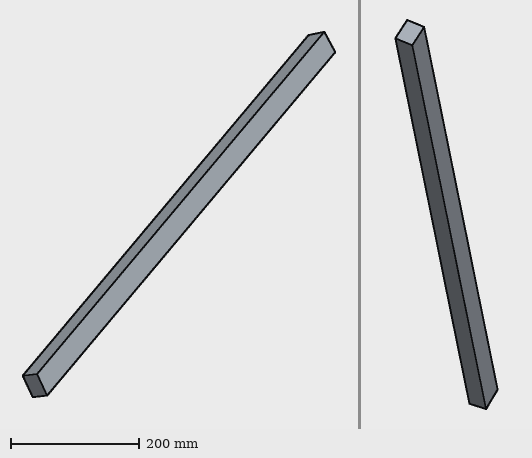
import cadquery as cq
import math

OVERALL_LENGTH = 984.73
OVERALL_HEIGHT = 48.95

SECTION_WIDTH = 30.0
SECTION_DEPTH = 39.5
SECTION_DIAGONAL = math.hypot(SECTION_WIDTH, SECTION_DEPTH)
ROLL = math.atan2(SECTION_WIDTH, SECTION_DEPTH) - math.acos(OVERALL_HEIGHT / SECTION_DIAGONAL)

YAW = math.radians(5.0)
FAR_END_ANGLE = math.radians(10.0)

AXIS_SLOPE = math.tan(YAW)
FAR_END_SLOPE = math.tan(FAR_END_ANGLE)


def section_corners():
    """Left, top, right and bottom corners as (distance across the bar, height)."""
    half_width = cq.Vector(math.cos(ROLL), math.sin(ROLL)) * (SECTION_WIDTH / 2)
    half_depth = cq.Vector(math.sin(ROLL), -math.cos(ROLL)) * (SECTION_DEPTH / 2)
    left = -half_width - half_depth
    top = half_width - half_depth
    return [(corner.x, corner.y) for corner in (left, top, -left, -top)]


def long_edges():
    """Each long edge as (x where it crosses y = 0, height)."""
    return [(across / math.cos(YAW), height) for across, height in section_corners()]


def end_corners(centre_y, slope):
    """Where the long edges meet the vertical plane y = centre_y + slope * x."""
    corners = []
    for edge_x, height in long_edges():
        y = (centre_y + slope * edge_x) / (1 + slope * AXIS_SLOPE)
        corners.append(cq.Vector(edge_x - AXIS_SLOPE * y, y, height))
    return corners


def flat_face(corners):
    return cq.Face.makeFromWires(cq.Wire.makePolygon(corners, close=True))


def make_bar():
    near_y = -OVERALL_LENGTH / 2
    tip_y = OVERALL_LENGTH / 2
    tip_x = max(edge_x for edge_x, _ in long_edges()) - AXIS_SLOPE * tip_y
    near = end_corners(near_y, 0.0)
    far = end_corners(tip_y - FAR_END_SLOPE * tip_x, FAR_END_SLOPE)

    faces = [flat_face(near), flat_face(far)]
    for i in range(len(near)):
        faces.append(flat_face([near[i - 1], near[i], far[i], far[i - 1]]))
    return cq.Solid.makeSolid(cq.Shell.makeShell(faces))


result = cq.Workplane(obj=make_bar())